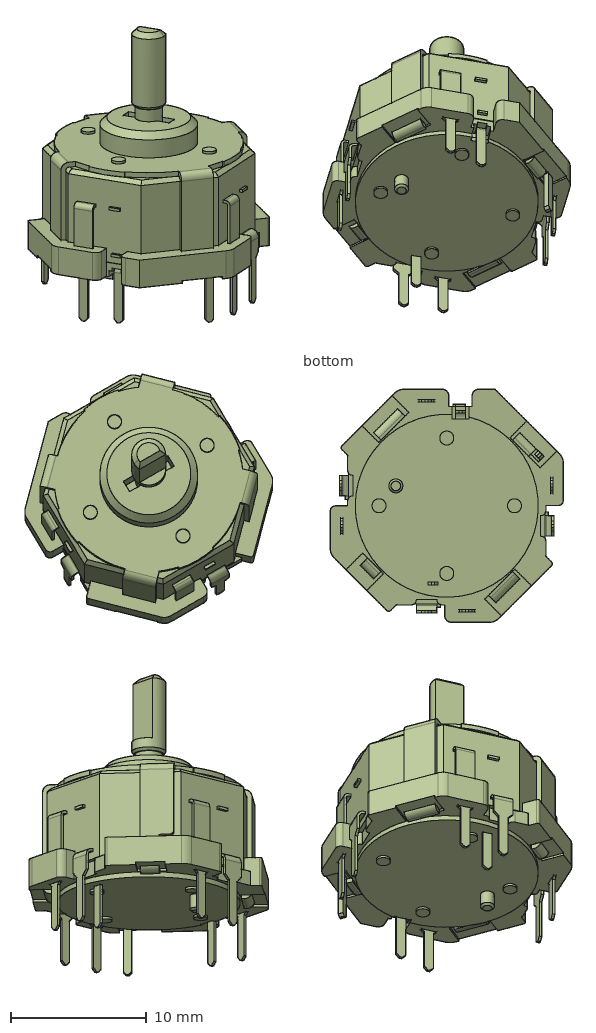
import cadquery as cq
import math

QUARTER_TURNS = (0, 90, 180, 270)
ARM_ANGLES = (45, 135, 225, 315)
STEPPED_ARM_ANGLE = 135
PIN_ARM_ANGLE = 315

sheet = 0.4
lead_thickness = 0.2
fit_reach = 12.37

shaft_top = 17.01
shaft_radius = 1.25
shaft_tip_chamfer = 0.4
neck_radius = 1.01
neck_top = 11.07
collar_low_radius = 1.11
collar_chamfer_height = 0.2
flat_y = 0.58
flat_bottom = 12.0

housing_bottom = 1.1
housing_top = 7.8
housing_apothem = 7.25
housing_chamfer_height = 0.3
housing_chamfer_inset = 0.33
rivet_radius = 0.52
rivet_distance = 5.0
rivet_head_height = 0.19
stub_width = 0.87
stub_center = 0.89
stub_height = 0.2
stub_reach = 0.23
stub_top = 5.46
low_stub_width = 0.72
low_stub_top = 1.85

cover_top = housing_top + sheet
cover_radius = 6.97
cover_lobe_radius = 7.1
cover_lobe_width = 2.93
bushing_top = 10.1
bushing_radius = 3.6
bushing_chamfer = 0.52
keyway_length = 3.8
keyway_width = 0.9
arm_outer = housing_apothem + sheet
arm_root = 5.77
arm_width = 2.5
arm_bend_radius = 0.58
arm_step_width = 1.4
arm_step_height = 2.58
arm_step_radius = 0.3
foot_top = 0.19
foot_start = 6.85
pin_arm_foot_width = 1.7
ground_pin_width = 0.6

wing_height = 2.17
wing_outer = 8.6
wing_inner = 6.19
wing_corner = 3.55
wing_corner_radius = 1.0
wing_end_radius = 0.41
wing_lap_radius = 0.52
wing_tip_radius = 0.19
wing_tip_offset = 2.54
wing_overhang = 0.16
long_wing_end = 1.85
block_half = 7.32
block_corner = 3.65
foot_notch_start = -0.25
foot_notch_width = 3.13
step_notch_width = 2.17
recess_edge_radius = 0.37
recess_depth = 0.4
front_recess_width = 1.28
front_recess_top = 0.45
front_recess_back = 6.4
post_x = -3.75
post_y = -1.46
post_radius = 0.52
post_bottom = -1.59
post_chamfer = 0.16

pin_bottom = -3.6
pin_width = 0.72
pin_tip_width = 0.2
pin_tip_height = 0.27
shoulder_z = 0.2
head_width = 1.53
head_center = 1.48
high_lead_outer = 7.84
high_lead_top = 5.46
high_lead_bend = 0.4
low_lead_outer = 7.92
low_lead_top = 1.88
low_lead_bend = 0.58
middle_center = 1.01
middle_lead_outer = 7.03
middle_lead_top = 0.7
middle_lead_bend = 0.41
rear_pin_y = 5.73

plate_radius = 6.75


def block(x0, x1, y0, y1, z0, z1):
    """Box between two opposite corners."""
    return cq.Workplane("XY").box(x1 - x0, y1 - y0, z1 - z0, centered=False).translate((x0, y0, z0))


def cylinder(radius, z0, z1, x=0.0, y=0.0):
    return cq.Workplane("XY", origin=(x, y, z0)).circle(radius).extrude(z1 - z0)


def turned(shape, angle):
    """Copy of a shape turned about the shaft axis."""
    return shape.rotate((0, 0, 0), (0, 0, 1), angle)


def rivets(z0, z1):
    """Four round posts, one on each axis direction."""
    return (
        cq.Workplane("XY", origin=(0, 0, z0))
        .polarArray(rivet_distance, 0, 360, 4)
        .circle(rivet_radius)
        .extrude(z1 - z0)
    )


def pin_outline(x, top, width):
    """Front outline of a lead: wide head, sloping shoulders and pointed pin."""
    half_head = width / 2
    half_pin = pin_width / 2
    right_side = [
        (half_head, top),
        (half_pin, pin_bottom + pin_tip_height),
        (pin_tip_width / 2, pin_bottom),
    ]
    if width > pin_width:
        shoulder_drop = half_head - half_pin
        right_side[1:1] = [(half_head, shoulder_z), (half_pin, shoulder_z - shoulder_drop)]
    left_side = [(-px, pz) for px, pz in reversed(right_side)]
    points = [(x + px, pz) for px, pz in right_side + left_side]
    return cq.Workplane("XZ").polyline(points).close().extrude(fit_reach)


def bent_lead(x, outer, top, bend, width, root):
    """Lead that comes straight out along -Y at `top` and bends down into a pin."""
    x0 = x - width / 2
    x1 = x + width / 2
    inner = outer - lead_thickness
    strip = block(x0, x1, -outer, -root, pin_bottom, top)
    strip = strip.edges("|X and <Y and >Z").fillet(bend)
    hollow = block(x0, x1, -inner, -root, pin_bottom, top - lead_thickness)
    hollow = hollow.edges("|X and <Y and >Z").fillet(bend - lead_thickness)
    return strip.cut(hollow).intersect(pin_outline(x, top, width))


def make_shaft():
    profile = [
        (0, housing_top),
        (neck_radius, housing_top),
        (neck_radius, neck_top),
        (collar_low_radius, neck_top),
        (shaft_radius, neck_top + collar_chamfer_height),
        (shaft_radius, shaft_top),
        (0, shaft_top),
    ]
    shaft = cq.Workplane("XZ").polyline(profile).close().revolve(360, (0, 0, 0), (0, 1, 0))
    flat = block(-shaft_radius, shaft_radius, flat_y, 2 * shaft_radius, flat_bottom, shaft_top)
    return shaft.cut(flat).faces(">Z").chamfer(shaft_tip_chamfer)


def octagon(z0, z1):
    outline = cq.Workplane("XY", origin=(0, 0, z0)).polygon(8, 2 * housing_apothem, circumscribed=True)
    return outline.extrude(z1 - z0)


def stub(x, width, top):
    """Small square lead end that sticks out of the -Y side."""
    y_end = -(housing_apothem + stub_reach)
    return block(x - width / 2, x + width / 2, y_end, -arm_root, top - stub_height, top)


def make_housing():
    housing = octagon(housing_bottom, housing_top)
    housing = housing.faces(">Z").chamfer(housing_chamfer_height, housing_chamfer_inset)
    housing = housing.union(rivets(housing_top, cover_top + rivet_head_height))
    root = housing_apothem - lead_thickness
    high_lead = bent_lead(-head_center, high_lead_outer, high_lead_top, high_lead_bend, head_width, root)
    low_lead = bent_lead(head_center, low_lead_outer, low_lead_top, low_lead_bend, head_width, root)
    for angle in QUARTER_TURNS:
        housing = housing.union(turned(high_lead, angle))
        housing = housing.union(turned(stub(stub_center, stub_width, stub_top), angle))
        if angle == 0:
            housing = housing.union(stub(middle_center, low_stub_width, low_stub_top))
        else:
            housing = housing.union(turned(low_lead, angle))
    return housing


def arm(foot_width):
    """Sheet arm on the +X side: out over the housing, down its side and in under the base."""
    outside = block(arm_root, arm_outer, 0, arm_width, foot_top - sheet, cover_top)
    outside = outside.edges("|Y and >X").fillet(arm_bend_radius)
    inside = block(arm_root, housing_apothem, 0, arm_width, foot_top, housing_top)
    inside = inside.edges("|Y and >X").fillet(arm_bend_radius - sheet)
    bent = outside.cut(inside)
    bent = bent.cut(block(arm_root, foot_start, 0, arm_width, foot_top - sheet, foot_top))
    return bent.cut(block(arm_root, arm_outer, foot_width, fit_reach, foot_top - sheet, foot_top))


def ground_pin():
    """Pin that continues one edge of an arm straight down."""
    tip = (ground_pin_width - pin_tip_width) / 2
    y0 = arm_width - ground_pin_width
    pin = block(housing_apothem, arm_outer, y0, arm_width, pin_bottom, foot_top + arm_bend_radius)
    return pin.edges("|X and <Z").chamfer(tip)


def stepped_arm():
    """Arm whose lower part is narrowed by a step with a rounded corner."""
    step = block(arm_root, fit_reach, arm_step_width, fit_reach, foot_top - sheet, arm_step_height)
    return arm(arm_step_width).cut(step).faces(">Y").edges("<Z").fillet(arm_step_radius)


def make_cover():
    cover = cylinder(cover_radius, housing_top, cover_top)
    lobes = cylinder(cover_lobe_radius, housing_top, cover_top)
    half_lobe = cover_lobe_width / 2
    band = block(-fit_reach, fit_reach, -half_lobe, half_lobe, housing_top, cover_top)
    cover = cover.union(lobes.intersect(band.union(turned(band, 90))))

    for angle in ARM_ANGLES:
        if angle == STEPPED_ARM_ANGLE:
            shape = stepped_arm()
        elif angle == PIN_ARM_ANGLE:
            shape = arm(pin_arm_foot_width).union(ground_pin())
        else:
            shape = arm(arm_width)
        cover = cover.union(turned(shape, angle))

    bushing = cylinder(bushing_radius, housing_top, bushing_top).faces(">Z").chamfer(bushing_chamfer)
    cover = cover.union(bushing)
    half_length = keyway_length / 2
    half_width = keyway_width / 2
    cover = cover.cut(block(-half_length, half_length, -half_width, half_width, cover_top, bushing_top))
    cover = cover.cut(cylinder(neck_radius, housing_top, bushing_top))
    return cover.cut(rivets(housing_top, cover_top))


def diagonal_point(radial, offset):
    """Point at a distance along the +X+Y diagonal and an offset towards +X."""
    return ((radial + offset) / math.sqrt(2), (radial - offset) / math.sqrt(2))


def wing(start, end_radius):
    """Wing round the +X+Y corner, from x = start on the +Y side to a radial end."""
    wing_diagonal = (wing_outer + wing_corner) / math.sqrt(2)
    tip = diagonal_point(wing_diagonal, wing_tip_offset)
    outline = [
        (start, wing_inner),
        (start, wing_outer),
        (wing_corner, wing_outer),
        tip,
        diagonal_point(wing_inner, wing_tip_offset),
    ]
    body = cq.Workplane("XY").polyline(outline).close().extrude(wing_height)
    body = body.edges(cq.NearestToPointSelector((*outline[1], wing_height / 2))).fillet(end_radius)
    body = body.edges(cq.NearestToPointSelector((*outline[2], wing_height / 2))).fillet(wing_corner_radius)
    return body.edges(cq.NearestToPointSelector((*tip, wing_height / 2))).fillet(wing_tip_radius)


def long_wing():
    """Wing round the +X-Y corner that reaches on along the -Y side."""
    outline = [
        (wing_inner, 0),
        (wing_outer, 0),
        (wing_outer, -wing_corner),
        (wing_corner, -wing_outer),
        (long_wing_end, -wing_outer),
        (long_wing_end, -wing_inner),
    ]
    body = cq.Workplane("XY").polyline(outline).close().extrude(wing_height)
    for x, y, radius in (
        (*outline[1], wing_end_radius),
        (*outline[2], wing_corner_radius),
        (*outline[4], wing_lap_radius),
    ):
        body = body.edges(cq.NearestToPointSelector((x, y, wing_height / 2))).fillet(radius)
    return body


def lead_recess():
    """Cutter for a recess with rounded mouth edges in the -Y side of the base, behind a low lead."""
    half = head_width / 2
    back = -(block_half - recess_depth)
    r = recess_edge_radius
    profile = (
        cq.Workplane("XY")
        .moveTo(head_center - half, back)
        .lineTo(head_center - half, -block_half + r)
        .radiusArc((head_center - half - r, -block_half), r)
        .lineTo(head_center + half + r, -block_half)
        .radiusArc((head_center + half, -block_half + r), r)
        .lineTo(head_center + half, back)
        .close()
    )
    return profile.extrude(housing_bottom)


def front_recess():
    """Cutter for the recess round the middle lead, which also notches the bottom plate."""
    x0 = middle_center - front_recess_width / 2
    x1 = middle_center + front_recess_width / 2
    return block(x0, x1, -block_half, -front_recess_back, -sheet, front_recess_top)


def make_base(housing, cover):
    side = 2 * block_half
    corner_cut = block_half - block_corner
    base = cq.Workplane("XY").rect(side, side).extrude(housing_bottom).edges("|Z").chamfer(corner_cut)
    for angle in (90, 180, 270):
        base = base.cut(turned(lead_recess(), angle))
    lapped_wing = wing(-wing_overhang, wing_lap_radius)
    plain_wing = wing(0, wing_end_radius)
    base = base.union(lapped_wing).union(turned(plain_wing, 90))
    base = base.union(turned(lapped_wing, 180)).union(long_wing())
    base = base.cut(octagon(housing_bottom, wing_height))

    for angle in ARM_ANGLES:
        width = step_notch_width if angle == STEPPED_ARM_ANGLE else foot_notch_width
        notch_end = foot_notch_start + width
        notch = block(foot_start, fit_reach, foot_notch_start, notch_end, 0, foot_top)
        base = base.cut(turned(notch, angle))
    base = base.cut(housing).cut(cover)

    base = base.cut(front_recess())
    slot_x0 = middle_center - pin_width / 2
    slot_x1 = middle_center + pin_width / 2
    base = base.cut(block(slot_x0, slot_x1, -block_half, -front_recess_back, 0, middle_lead_top))
    root = front_recess_back - lead_thickness
    lead = bent_lead(middle_center, middle_lead_outer, middle_lead_top, middle_lead_bend, pin_width, root)
    base = base.union(lead)
    return base.union(base_posts())


def base_posts():
    """Everything that goes down through the bottom plate: rivets, locating post and rear pin."""
    post = cylinder(post_radius, post_bottom, 0, post_x, post_y).faces("<Z").chamfer(post_chamfer)
    half_sheet = lead_thickness / 2
    strip = block(-fit_reach, fit_reach, -rear_pin_y - half_sheet, -rear_pin_y + half_sheet, pin_bottom, 0)
    rear_pin = turned(pin_outline(middle_center, 0, pin_width).intersect(strip), 180)
    return rivets(-sheet - rivet_head_height, 0).union(post).union(rear_pin)


def make_bottom_plate():
    return cylinder(plate_radius, -sheet, 0).cut(base_posts()).cut(front_recess())


shaft = make_shaft()
housing = make_housing()
cover = make_cover()
base = make_base(housing, cover)
bottom_plate = make_bottom_plate()

result = cq.Compound.makeCompound(
    [shaft.val(), housing.val(), cover.val(), base.val(), bottom_plate.val()]
)